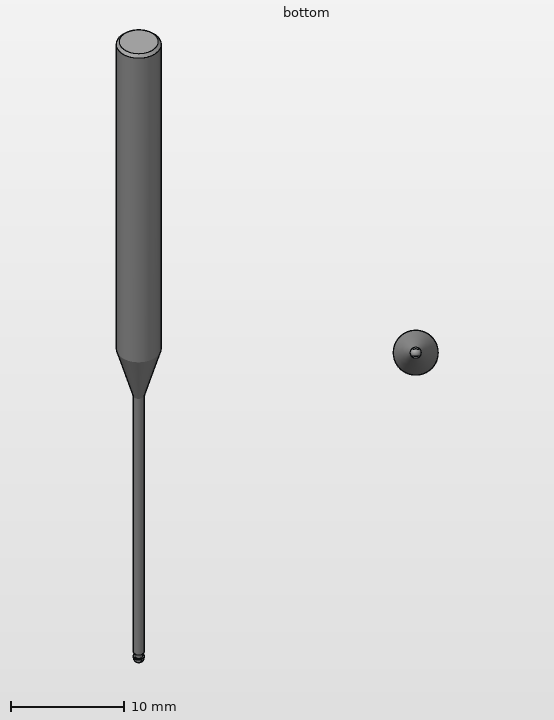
import cadquery as cq

total_length = 70.0
shank_radius = 4.0 / 2
shank_chamfer = 0.3

cone_top_z = 35.35
cone_bottom_z = 30.0
neck_radius = 1.0 / 2
neck_bottom_z = 1.1

head_radius = 1.0 / 2
head_top_z = 0.6
stem_radius = 0.7 / 2

blade_thickness = 0.6
land_height = 0.1


def make_holder():
    """Chamfered shank, cone and neck, turned as one body."""
    profile = (
        cq.Workplane("XZ")
        .moveTo(0, neck_bottom_z)
        .lineTo(neck_radius, neck_bottom_z)
        .lineTo(neck_radius, cone_bottom_z)
        .lineTo(shank_radius, cone_top_z)
        .lineTo(shank_radius, total_length - shank_chamfer)
        .lineTo(shank_radius - shank_chamfer, total_length)
        .lineTo(0, total_length)
        .close()
    )
    return profile.revolve(360, (0, 0, 0), (0, 1, 0))


def make_cutter():
    """Stem and ball-nosed head, turned as one body and then flattened into a blade."""
    profile = (
        cq.Workplane("XZ")
        .moveTo(0, 0)
        .radiusArc((head_radius, head_radius), -head_radius)
        .lineTo(head_radius, head_top_z)
        .lineTo(stem_radius, head_top_z)
        .lineTo(stem_radius, neck_bottom_z)
        .lineTo(0, neck_bottom_z)
        .close()
    )
    cutter_body = profile.revolve(360, (0, 0, 0), (0, 1, 0))

    flat_height = head_top_z - land_height
    for side in (-1, 1):
        relief = (
            cq.Workplane("XY")
            .center(0, side * (blade_thickness / 2 + head_radius))
            .rect(4 * head_radius, 2 * head_radius)
            .extrude(flat_height)
        )
        cutter_body = cutter_body.cut(relief)
    return cutter_body


holder = make_holder()
cutter = make_cutter()

result = cq.Compound.makeCompound([holder.val(), cutter.val()])